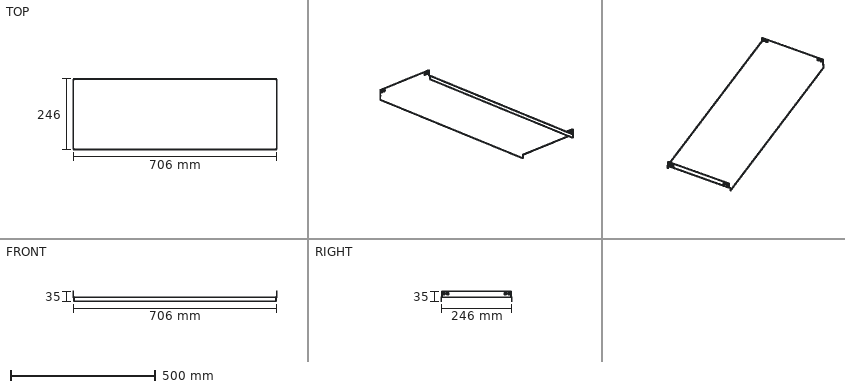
import cadquery as cq

length = 706.0
width = 246.0
height = 35.0

thickness = 1.0
inner_radius = 1.5
outer_radius = inner_radius + thickness

panel_top = 15.0
panel_bottom = panel_top - thickness
corner_relief = 3.0
flange_corner_radius = 3.5

hole_diameter = 7.0
hole_z = 27.0
hole_offsets_y = (100.0, 113.0)


def bent_flange(plane, outer_edge, panel_face, tip, span):
    """Flange bent off the panel; the profile is drawn in the given plane.

    panel_face is the height of the panel face on the outside of the bend,
    tip is the free edge of the flange and span is its length along the bend.
    """
    direction = 1 if tip > panel_face else -1
    bend_start = outer_edge - outer_radius
    bend_end = panel_face + direction * outer_radius
    inner_face = panel_face + direction * thickness
    inner_edge = outer_edge - thickness
    profile = (
        cq.Workplane(plane)
        .moveTo(bend_start, panel_face)
        .radiusArc((outer_edge, bend_end), -direction * outer_radius)
        .lineTo(outer_edge, tip)
        .lineTo(inner_edge, tip)
        .lineTo(inner_edge, bend_end)
        .radiusArc((bend_start, inner_face), direction * inner_radius)
        .close()
    )
    flange = profile.extrude(span / 2, both=True)
    tip_face = flange.faces(">Z" if direction > 0 else "<Z")
    across_sheet = "|X" if plane == "XZ" else "|Y"
    return tip_face.edges(across_sheet).fillet(flange_corner_radius)


flat_length = length - 2 * outer_radius
flat_width = width - 2 * outer_radius
end_span = width - 2 * corner_relief
side_span = length - 2 * corner_relief
panel = (
    cq.Workplane("XY")
    .workplane(offset=panel_bottom)
    .rect(flat_length, flat_width)
    .extrude(thickness)
)

end_flange = bent_flange("XZ", length / 2, panel_bottom, height, end_span)
side_flange = bent_flange("YZ", width / 2, panel_top, 0, side_span)
result = panel
for flange in (end_flange, side_flange):
    result = result.union(flange).union(flange.rotate((0, 0, 0), (0, 0, 1), 180))

hole_centres = [(sign * offset, hole_z) for sign in (-1, 1) for offset in hole_offsets_y]
holes = (
    cq.Workplane("YZ")
    .pushPoints(hole_centres)
    .circle(hole_diameter / 2)
    .extrude(length, both=True)
)
result = result.cut(holes)